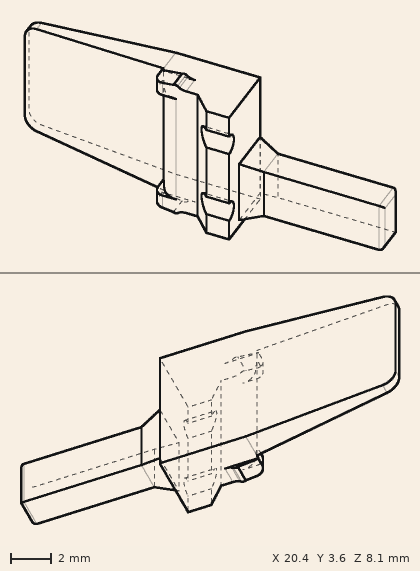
import cadquery as cq
import math

total_length = 20.45
total_depth = 3.6
total_height = 8.1

blade_length = 8.08
blade_tip_thickness = 0.5
blade_root_thickness = 1.41
blade_tip_half_height = 3.17
blade_corner_radius = 0.75

body_end = 12.72
body_half_height = 3.85
step_depth = 2.6
ramp_start = 10.51
ramp_end = 11.47
nose_radius = 0.51

ear_back_depth = 1.6
ear_start_half_height = 3.89
ear_crest_start = 9.18
ear_crest_end = 9.4
ear_crest_drop = 0.03
ear_blend_start = 9.5
ear_blend_height = 0.092
ear_end = 9.88
ear_half_height = total_height / 2

relief_half_height = 3.17
relief_radius = 1.02
relief_end = 9.33
relief_slope = math.radians(61)

groove_radius = 0.55
groove_offset = 2.1

shaft_start = 13.89
shaft_depth = 1.64
shaft_height = 2.78
shaft_center_depth = 1.23
shaft_center_z = -1.68
neck_base_depth = 2.41
neck_base_height = 3.54
shaft_end_rounding = 0.22


def plan_prism(outline, half_height):
    """Extrude an (x, depth from back) outline symmetrically in Z."""
    points = [(x, -depth) for x, depth in outline]
    return cq.Workplane("XY").polyline(points).close().extrude(half_height, both=True)


def make_blade():
    wedge = plan_prism(
        [(0, 0), (blade_length, 0), (blade_length, blade_root_thickness), (0, blade_tip_thickness)],
        body_half_height,
    )
    face_shape = (
        cq.Workplane("XZ")
        .polyline([
            (0, -blade_tip_half_height),
            (blade_length, -body_half_height),
            (blade_length, body_half_height),
            (0, blade_tip_half_height),
        ])
        .close()
        .extrude(total_depth)
        .edges("|Y and <X")
        .fillet(blade_corner_radius)
    )
    return wedge.intersect(face_shape)


def make_body():
    return plan_prism(
        [
            (blade_length, 0),
            (body_end, 0),
            (body_end, total_depth),
            (ramp_end, total_depth),
            (ramp_start, step_depth),
            (blade_length, step_depth),
        ],
        body_half_height,
    )


def make_ears():
    crest_middle = (ear_crest_start + ear_crest_end) / 2
    crest_edge = ear_half_height - ear_crest_drop
    blend_length = ear_end - ear_blend_start
    blend_radius = (blend_length**2 + ear_blend_height**2) / (2 * ear_blend_height)
    blend_half_angle = math.asin(blend_length / blend_radius) / 2
    blend_middle = (
        ear_end - blend_radius * math.sin(blend_half_angle),
        body_half_height + blend_radius * (1 - math.cos(blend_half_angle)),
    )
    ear_outline = (
        cq.Workplane("XZ", origin=(0, -ear_back_depth, 0))
        .moveTo(blade_length, 0)
        .lineTo(blade_length, ear_start_half_height)
        .lineTo(ear_crest_start, crest_edge)
        .threePointArc((crest_middle, ear_half_height), (ear_crest_end, crest_edge))
        .lineTo(ear_blend_start, body_half_height + ear_blend_height)
        .threePointArc(blend_middle, (ear_end, body_half_height))
        .lineTo(ear_end, 0)
        .close()
    )
    upper_ear = ear_outline.extrude(step_depth - ear_back_depth)
    return upper_ear.union(upper_ear.mirror("XY"))


def make_nose_rounding():
    """Waste outside a convex quarter round on the front left edge of the body and ears."""
    diagonal = nose_radius * (1 - math.sqrt(0.5))
    return (
        cq.Workplane("XY")
        .moveTo(blade_length, -step_depth)
        .lineTo(blade_length + nose_radius, -step_depth)
        .threePointArc(
            (blade_length + diagonal, diagonal - step_depth),
            (blade_length, nose_radius - step_depth),
        )
        .close()
        .extrude(total_height, both=True)
    )


def make_relief():
    """Waste between the nose corner and a sloped wall that blends into the front face."""
    arc_center_depth = step_depth - relief_radius

    def arc_point(angle):
        return (
            relief_end - relief_radius * math.sin(angle),
            -(arc_center_depth + relief_radius * math.cos(angle)),
        )

    return (
        cq.Workplane("XY")
        .moveTo(blade_length, -blade_root_thickness)
        .lineTo(*arc_point(relief_slope))
        .threePointArc(arc_point(relief_slope / 2), arc_point(0))
        .lineTo(blade_length, -step_depth)
        .close()
        .extrude(relief_half_height, both=True)
    )


def make_grooves():
    return (
        cq.Workplane("YZ")
        .pushPoints([(-total_depth, groove_offset), (-total_depth, -groove_offset)])
        .circle(groove_radius)
        .extrude(body_end)
    )


def make_neck_and_shaft():
    base = cq.Workplane("YZ", origin=(body_end, -shaft_center_depth, shaft_center_z))
    neck = (
        base.rect(neck_base_depth, neck_base_height)
        .workplane(offset=shaft_start - body_end)
        .rect(shaft_depth, shaft_height)
        .loft(ruled=True)
    )
    shaft = (
        cq.Workplane("YZ", origin=(shaft_start, -shaft_center_depth, shaft_center_z))
        .rect(shaft_depth, shaft_height)
        .extrude(total_length - shaft_start)
        .faces(">X")
        .edges()
        .fillet(shaft_end_rounding)
    )
    return neck.union(shaft)


result = (
    make_body()
    .union(make_ears())
    .cut(make_nose_rounding())
    .cut(make_relief())
    .cut(make_grooves())
    .union(make_blade())
    .union(make_neck_and_shaft())
)